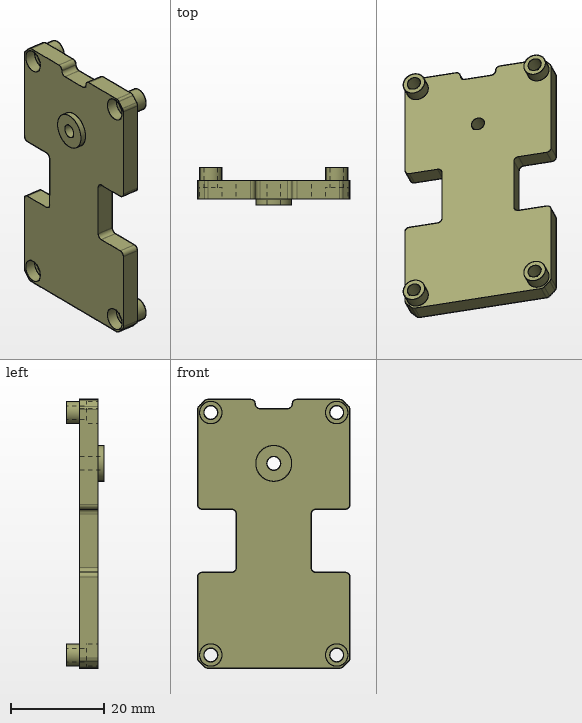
import cadquery as cq

width = 32.7
height = 57.7
thickness = 4.0
corner_chamfer = 1.8
edge_radius = 1.0

side_notch_depth = 8.3
side_notch_height = 13.5
side_notch_top_offset = 23.6

top_notch_width = 7.9
top_notch_depth = 2 * edge_radius

post_diameter = 4.8
post_length = 2.8
post_inset = 2.85
hole_diameter = 2.9
counterbore_depth = 2.5

pad_diameter = 7.7
pad_thickness = 1.3
pad_top_offset = 13.75

top_z = height / 2
half_width = width / 2
pad_z = top_z - pad_top_offset
back_y = thickness + post_length
post_x = half_width - post_inset
post_z = top_z - post_inset
post_centers = [(x, z) for x in (-post_x, post_x) for z in (-post_z, post_z)]


def cylinder_y(x, z, diameter, start_y, end_y):
    """Cylinder along Y between two Y positions."""
    return cq.Workplane(
        cq.Solid.makeCylinder(
            diameter / 2, end_y - start_y, cq.Vector(x, start_y, z), cq.Vector(0, 1, 0)
        )
    )


def plate_block(x, z, size_x, size_z):
    """Block as thick as the plate, centred on (x, z)."""
    return cq.Workplane("XY").box(size_x, thickness, size_z).translate((x, thickness / 2, z))


def top_notch():
    """Notch cutter whose walls sweep smoothly from the top edge to the floor."""
    wall_x = top_notch_width / 2
    outer_x = wall_x + edge_radius
    inner_x = wall_x - edge_radius
    middle_z = top_z - edge_radius
    floor_z = top_z - top_notch_depth
    return (
        cq.Workplane("XZ")
        .moveTo(-outer_x, top_z)
        .radiusArc((-wall_x, middle_z), edge_radius)
        .radiusArc((-inner_x, floor_z), -edge_radius)
        .lineTo(inner_x, floor_z)
        .radiusArc((wall_x, middle_z), -edge_radius)
        .radiusArc((outer_x, top_z), edge_radius)
        .close()
        .extrude(-thickness)
    )


def plate():
    """Chamfered plate with a waist; every profile corner is rounded."""
    body = plate_block(0, 0, width, height).edges("|Y").chamfer(corner_chamfer)
    notch_z = top_z - side_notch_top_offset - side_notch_height / 2
    for side in (-1, 1):
        cutter = plate_block(side * half_width, notch_z, 2 * side_notch_depth, side_notch_height)
        body = body.cut(cutter)
    return body.edges("|Y").fillet(edge_radius).cut(top_notch())


def add_pad(body):
    """Front pad with a hole through pad and plate."""
    pad = cylinder_y(0, pad_z, pad_diameter, -pad_thickness, 0)
    hole = cylinder_y(0, pad_z, hole_diameter, -pad_thickness, thickness)
    return body.union(pad).cut(hole)


def add_post(body, x, z):
    """Back post with a through hole counterbored from the front."""
    post = cylinder_y(x, z, post_diameter, thickness, back_y)
    hole = cylinder_y(x, z, hole_diameter, 0, back_y)
    counterbore = cylinder_y(x, z, post_diameter, 0, counterbore_depth)
    return body.union(post).cut(hole).cut(counterbore)


result = add_pad(plate())
for center_x, center_z in post_centers:
    result = add_post(result, center_x, center_z)